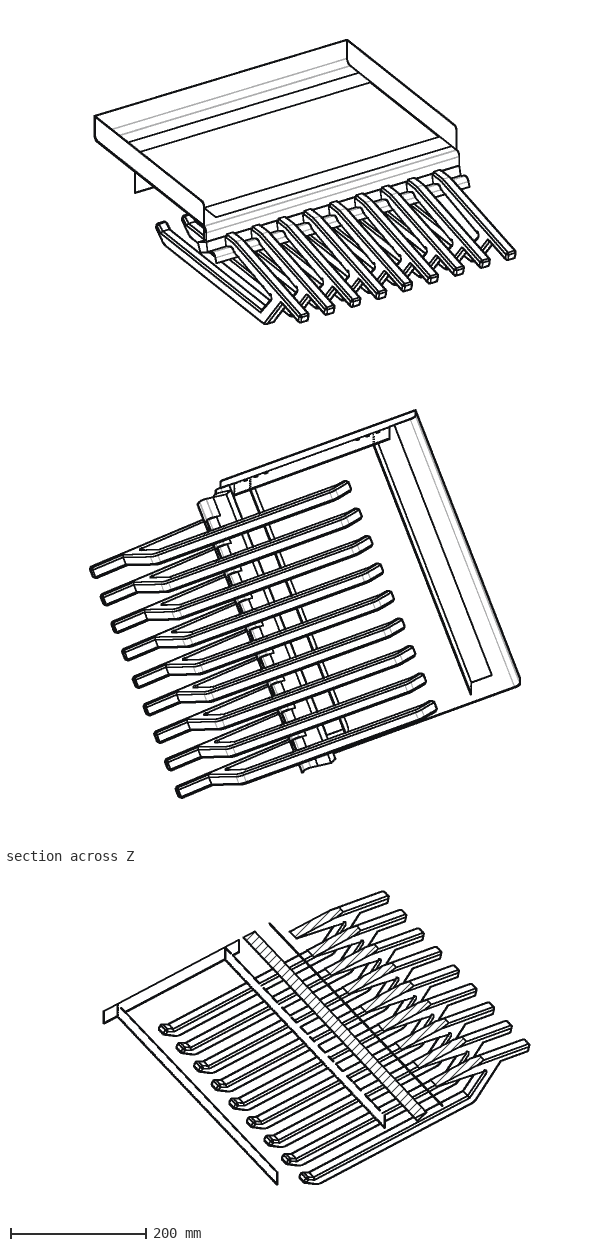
import math

import cadquery as cq

WIDTH = 440.0
TOTAL_HEIGHT = 161.75
SHEET = 1.0

RIM_HEIGHT = 40.0
FRONT_BEND_RADIUS = 9.0
SIDE_WALL_LENGTH = 308.5
SIDE_WALL_CORNER_RADIUS = 5.0
REAR_WALL_X = 316.5
REAR_BEND_RADIUS = 8.0

BAR_TOP_Z = -22.9
BAR_TOP_LENGTH = 27.0
BAR_BOTTOM_LENGTH = 23.5
BAR_DEPTH = 16.0
BAR_TILT = 26.0
LIP_RISE_LENGTH = 20.4
LIP_FALL_ANGLE = 70.0
LIP_END_X = 344.4
LIP_BEND_RADIUS = 8.0

BRACKET_SHEET = 1.5
BRACKET_DROP = 67.5
BRACKET_CENTER_X = 164.3
RAIL_SPACING = 195.0
RAIL_FLANGE = 33.0
RAIL_END_Y = -190.0
BACK_PLATE_LENGTH = 245.0
HOLE_DIAMETER = 5.0
HOLE_Z = -6.0
HOLE_PITCH = 16.0
HOLE_GROUP_SPACING = 177.0
HOLES_PER_GROUP = 3

TINE_COUNT = 9
TINE_PITCH = 45.0
TINE_CENTER_Y = 1.0
TINE_WIDTH = 17.5
TINE_EDGE_CHAMFER = 3.0
TINE_END_CHAMFER = 2.5
TINE_TOP_Z = -19.9
TINE_SHOULDER_X = 342.0
TINE_UNDERSIDE_Z = -36.0
UNDERSIDE_SHARP_DEPTH = 6.0
TINE_SHOULDER_UNDERSIDE_X = 338.0
TINE_TIP_X = 527.96
UPPER_ARM_SLOPE = 11.4
UPPER_ARM_UNDERSIDE_SLOPE = 13.8
UPPER_ARM_THICKNESS = 15.0
STRUT_REAR_ANGLE = 51.5
STRUT_FRONT_ANGLE = 49.5
STRUT_REAR_X = 475.0
STRUT_FRONT_X = 448.0
LOWER_ARM_BOTTOM_Z = RIM_HEIGHT - TOTAL_HEIGHT
LOWER_ARM_THICKNESS = 20.8
TOE_ANGLE = 39.0
TOE_BOTTOM_X = 143.0
TOE_TOP_X = 136.5
TOE_LENGTH = 33.5
TOE_THICKNESS = 11.0
STRUT_CORNER_RADIUS = 4.0
TINE_ROOT_DEPTH = 4.0
HEEL_RADIUS = 15.0


def sine(angle):
    return math.sin(math.radians(angle))


def cosine(angle):
    return math.cos(math.radians(angle))


def along(point, angle, distance):
    """Point reached from `point` in the XZ plane at `angle` degrees above +X."""
    return (point[0] + distance * cosine(angle), point[1] + distance * sine(angle))


def prism(points, y_min, y_max):
    """XZ outline extruded between two Y positions."""
    outline = cq.Workplane("XZ", origin=(0, y_max, 0)).polyline(points).close()
    return outline.extrude(y_max - y_min)


def block(x_min, x_max, y_min, y_max, z_min, z_max):
    size = (x_max - x_min, y_max - y_min, z_max - z_min)
    return cq.Workplane().box(*size, centered=False).translate((x_min, y_min, z_min))


def corner(point):
    """Selector for the Y-direction edge passing through an XZ point."""
    margin = 0.5
    return cq.selectors.BoxSelector(
        (point[0] - margin, -WIDTH, point[1] - margin),
        (point[0] + margin, WIDTH, point[1] + margin),
    )


def bar_corners():
    """Top rear, top front, bottom front and bottom rear corners of the support bar."""
    top_rear = (REAR_WALL_X, BAR_TOP_Z)
    top_front = along(top_rear, 180 + BAR_TILT, BAR_TOP_LENGTH)
    bottom_front = along(top_front, BAR_TILT - 90, BAR_DEPTH)
    bottom_rear = along(bottom_front, BAR_TILT, BAR_BOTTOM_LENGTH)
    return top_rear, top_front, bottom_front, bottom_rear


def make_tray():
    """Front wall, floor and rear wall bent from one sheet, plus two side walls."""
    inner_rear_radius = REAR_BEND_RADIUS - SHEET
    inner_front_radius = FRONT_BEND_RADIUS - SHEET
    bend_x = REAR_WALL_X - REAR_BEND_RADIUS
    bend_z = SHEET - REAR_BEND_RADIUS
    profile = (
        cq.Workplane("XZ", origin=(0, WIDTH / 2, 0))
        .moveTo(0, RIM_HEIGHT)
        .lineTo(0, FRONT_BEND_RADIUS)
        .radiusArc((FRONT_BEND_RADIUS, 0), -FRONT_BEND_RADIUS)
        .lineTo(bend_x, 0)
        .radiusArc((REAR_WALL_X - SHEET, bend_z), inner_rear_radius)
        .lineTo(REAR_WALL_X - SHEET, BAR_TOP_Z)
        .lineTo(REAR_WALL_X, BAR_TOP_Z)
        .lineTo(REAR_WALL_X, bend_z)
        .radiusArc((bend_x, SHEET), -REAR_BEND_RADIUS)
        .lineTo(FRONT_BEND_RADIUS, SHEET)
        .radiusArc((SHEET, FRONT_BEND_RADIUS), inner_front_radius)
        .lineTo(SHEET, RIM_HEIGHT)
        .close()
    )
    tray = profile.extrude(WIDTH)

    side = (
        cq.Workplane("XZ")
        .moveTo(0, RIM_HEIGHT)
        .lineTo(0, FRONT_BEND_RADIUS)
        .radiusArc((FRONT_BEND_RADIUS, 0), -FRONT_BEND_RADIUS)
        .lineTo(SIDE_WALL_LENGTH, 0)
        .lineTo(SIDE_WALL_LENGTH, RIM_HEIGHT - SIDE_WALL_CORNER_RADIUS)
        .radiusArc((SIDE_WALL_LENGTH - SIDE_WALL_CORNER_RADIUS, RIM_HEIGHT), -SIDE_WALL_CORNER_RADIUS)
        .close()
        .extrude(SHEET)
    )
    right_wall = side.translate((0, SHEET - WIDTH / 2, 0))
    left_wall = side.translate((0, WIDTH / 2, 0))
    return tray.union(right_wall).union(left_wall)


def make_support_bar():
    """Tilted bar across the full width with a peaked sheet lip along its lower rear edge."""
    corners = bar_corners()
    bar = prism(corners, -WIDTH / 2, WIDTH / 2)
    bottom_front, bottom_rear = corners[2:]
    peak = along(bottom_rear, BAR_TILT, LIP_RISE_LENGTH)
    fall_length = (LIP_END_X - peak[0]) / cosine(LIP_FALL_ANGLE)
    end = along(peak, -LIP_FALL_ANGLE, fall_length)
    half_bend = (BAR_TILT + LIP_FALL_ANGLE) / 2
    miter_angle = 90 + (BAR_TILT - LIP_FALL_ANGLE) / 2
    peak_top = along(peak, miter_angle, SHEET / cosine(half_bend))
    lip = prism(
        [
            bottom_front,
            peak,
            end,
            along(end, 90 - LIP_FALL_ANGLE, SHEET),
            peak_top,
            along(bottom_front, 90 + BAR_TILT, SHEET),
        ],
        -WIDTH / 2,
        WIDTH / 2,
    )
    lip = lip.edges("|Y").edges(corner(peak_top)).fillet(LIP_BEND_RADIUS)
    lip = lip.edges("|Y").edges(corner(peak)).fillet(LIP_BEND_RADIUS - SHEET)
    return bar.union(lip)


def make_brackets():
    """Two flanged rails across the tray and a drilled back plate joining them."""
    y_max = WIDTH / 2
    back_y = y_max - BRACKET_SHEET
    brackets = block(
        BRACKET_CENTER_X - BACK_PLATE_LENGTH / 2,
        BRACKET_CENTER_X + BACK_PLATE_LENGTH / 2,
        back_y,
        y_max,
        -BRACKET_DROP,
        0,
    )
    for side in (-1, 1):
        web_x = BRACKET_CENTER_X + side * RAIL_SPACING / 2
        flange_x = web_x + side * RAIL_FLANGE
        web = block(
            web_x - BRACKET_SHEET / 2, web_x + BRACKET_SHEET / 2, RAIL_END_Y, y_max, -BRACKET_DROP, 0
        )
        flange = block(min(web_x, flange_x), max(web_x, flange_x), RAIL_END_Y, y_max, -BRACKET_SHEET, 0)
        brackets = brackets.union(web).union(flange)

    group_middle = (HOLES_PER_GROUP - 1) / 2
    hole_points = [
        (BRACKET_CENTER_X + side * HOLE_GROUP_SPACING / 2 + (i - group_middle) * HOLE_PITCH, HOLE_Z)
        for side in (-1, 1)
        for i in range(HOLES_PER_GROUP)
    ]
    holes = (
        cq.Workplane("XZ", origin=(0, y_max, 0))
        .pushPoints(hole_points)
        .circle(HOLE_DIAMETER / 2)
        .extrude(BRACKET_SHEET)
    )
    return brackets.cut(holes)


def make_tine():
    """Hook-shaped tine with all its side-face edges chamfered, centred on Y = 0."""
    top_rear, _, _, bottom_rear = bar_corners()
    root_top = along(top_rear, 180 + BAR_TILT, TINE_ROOT_DEPTH)
    root_bottom = along(bottom_rear, 180 + BAR_TILT, TINE_ROOT_DEPTH)
    shoulder = (TINE_SHOULDER_X, TINE_TOP_Z)
    tip_corner_x = TINE_TIP_X + TINE_END_CHAMFER * sine(UPPER_ARM_SLOPE)
    tip_top = along(shoulder, -UPPER_ARM_SLOPE, (tip_corner_x - TINE_SHOULDER_X) / cosine(UPPER_ARM_SLOPE))
    tip_bottom = along(tip_top, -90 - UPPER_ARM_SLOPE, UPPER_ARM_THICKNESS)
    strut_rear = along(
        tip_bottom, 180 - UPPER_ARM_SLOPE, (tip_bottom[0] - STRUT_REAR_X) / cosine(UPPER_ARM_SLOPE)
    )
    heel = along(
        strut_rear, 180 + STRUT_REAR_ANGLE, (strut_rear[1] - LOWER_ARM_BOTTOM_Z) / sine(STRUT_REAR_ANGLE)
    )
    lower_top_z = LOWER_ARM_BOTTOM_Z + LOWER_ARM_THICKNESS
    shoulder_underside = (TINE_SHOULDER_UNDERSIDE_X, TINE_UNDERSIDE_Z)
    strut_front = along(
        shoulder_underside,
        -UPPER_ARM_UNDERSIDE_SLOPE,
        (STRUT_FRONT_X - TINE_SHOULDER_UNDERSIDE_X) / cosine(UPPER_ARM_UNDERSIDE_SLOPE),
    )
    inner_heel = along(
        strut_front, 180 + STRUT_FRONT_ANGLE, (strut_front[1] - lower_top_z) / sine(STRUT_FRONT_ANGLE)
    )
    toe_bottom = (TOE_BOTTOM_X, LOWER_ARM_BOTTOM_Z)
    toe_end = along(toe_bottom, 180 - TOE_ANGLE, TOE_LENGTH)
    toe_end_top = along(toe_end, 90 - TOE_ANGLE, TOE_THICKNESS)
    rise = (TINE_UNDERSIDE_Z - bottom_rear[1]) / sine(BAR_TILT)
    underside_start = along(bottom_rear, BAR_TILT, rise)
    outline = [
        (top_rear[0], TINE_TOP_Z),
        shoulder,
        tip_top,
        tip_bottom,
        strut_rear,
        heel,
        toe_bottom,
        toe_end,
        toe_end_top,
        (TOE_TOP_X, lower_top_z),
        inner_heel,
        strut_front,
        shoulder_underside,
        underside_start,
        root_bottom,
        root_top,
        top_rear,
    ]
    tine = prism(outline, -TINE_WIDTH / 2, TINE_WIDTH / 2)

    tine = tine.edges("|Y").edges(corner(strut_front)).fillet(STRUT_CORNER_RADIUS)
    for point in (heel, toe_bottom):
        tine = tine.edges("|Y").edges(corner(point)).fillet(HEEL_RADIUS)

    for point in (tip_top, tip_bottom, toe_end, toe_end_top):
        tine = tine.edges("|Y").edges(corner(point)).chamfer(TINE_END_CHAMFER)
    tine = tine.faces("<Y or >Y").edges().chamfer(TINE_EDGE_CHAMFER)

    sharp_end = along(strut_front, 180 - UPPER_ARM_UNDERSIDE_SLOPE, STRUT_CORNER_RADIUS)
    lower_edge = [root_bottom, underside_start, shoulder_underside, sharp_end]
    upper_edge = [(x, z + UNDERSIDE_SHARP_DEPTH) for x, z in reversed(lower_edge)]
    return tine.union(prism(lower_edge + upper_edge, -TINE_WIDTH / 2, TINE_WIDTH / 2))


tine = make_tine()
result = make_tray().union(make_support_bar()).union(make_brackets())
for index in range(TINE_COUNT):
    tine_y = TINE_CENTER_Y + (index - (TINE_COUNT - 1) / 2) * TINE_PITCH
    result = result.union(tine.translate((0, tine_y, 0)))